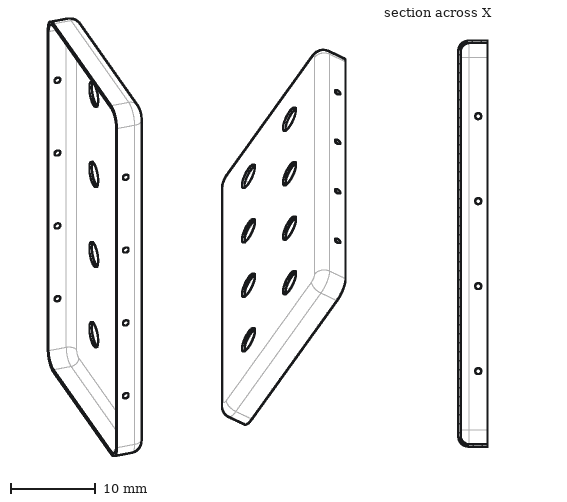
import cadquery as cq

width = 23.9
depth = 3.5
height = 47.9
wall = 0.35
corner_radius = 2.0
floor_edge_radius = 1.3

hole_diameter = 3.0
hole_columns = 2
hole_rows = 4
hole_pitch_x = 9.6
hole_pitch_z = 11.0

dimple_count = 4
dimple_pitch = 10.0
dimple_diameter = 0.7
dimple_depth = 0.2
dimple_from_rim = 1.1

rim_y = -depth / 2
floor_y = depth / 2


def rounded_block(inset):
    """Block with rounded corners and floor edge, inset from the outer skin."""
    block = (
        cq.Workplane("XZ", origin=(0, floor_y - inset, 0))
        .rect(width - 2 * inset, height - 2 * inset)
        .extrude(depth - inset)
        .edges("|Y")
        .fillet(corner_radius - inset)
    )
    return block.faces(">Y").edges().fillet(floor_edge_radius - inset)


def floor_holes():
    return (
        cq.Workplane("XZ", origin=(0, floor_y + wall, 0))
        .rarray(hole_pitch_x, hole_pitch_z, hole_columns, hole_rows)
        .circle(hole_diameter / 2)
        .extrude(depth)
    )


def dimple_spheres(wall_face_x):
    """Spheres that reach inward past both planes |X| = wall_face_x by the dimple depth."""
    rim_radius = dimple_diameter / 2
    sphere_radius = (rim_radius**2 + dimple_depth**2) / (2 * dimple_depth)
    center_x = wall_face_x + sphere_radius - dimple_depth
    sphere = cq.Workplane("XY").sphere(sphere_radius)
    spheres = []
    for index in range(dimple_count):
        z = (index - (dimple_count - 1) / 2) * dimple_pitch
        right_sphere = sphere.translate((center_x, rim_y + dimple_from_rim, z))
        spheres += [right_sphere, right_sphere.mirror("YZ")]
    return spheres


cavity = rounded_block(wall)
tray = rounded_block(0).cut(cavity).cut(floor_holes())

for bump_sphere in dimple_spheres(width / 2 - wall):
    tray = tray.union(bump_sphere.intersect(cavity))
for dimple_sphere in dimple_spheres(width / 2):
    tray = tray.cut(dimple_sphere)

result = tray